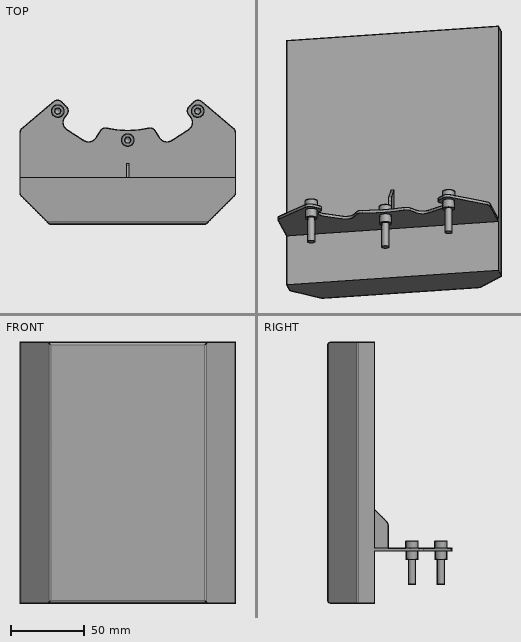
import cadquery as cq
import math

PANEL_WIDTH = 147.0
PANEL_HEIGHT = 178.0
PANEL_DEPTH = 32.0
PANEL_BEVEL = 20.3
PANEL_EDGE_RADIUS = 2.0

SHEET_THICKNESS = 2.0
PLATE_BOTTOM = 35.6
PLATE_TOP = PLATE_BOTTOM + SHEET_THICKNESS
LUG_RADIUS = 4.0
POCKET_RADIUS = 6.0

CRADLE_RADIUS = 65.0
CRADLE_BOTTOM_Y = 64.0
CRADLE_HALF_WIDTH = 17.0
CRADLE_CENTRE_Y = CRADLE_BOTTOM_Y + CRADLE_RADIUS
CRADLE_END_Y = CRADLE_CENTRE_Y - math.sqrt(CRADLE_RADIUS**2 - CRADLE_HALF_WIDTH**2)

PLATE_CORNERS = [
    (PANEL_WIDTH / 2, 64.3, LUG_RADIUS),
    (47.7, 86.2, LUG_RADIUS),
    (39.2, 77.6, LUG_RADIUS),
    (47.0, 68.2, POCKET_RADIUS),
    (25.0, 54.0, POCKET_RADIUS),
    (CRADLE_HALF_WIDTH, CRADLE_END_Y, LUG_RADIUS),
]

GUSSET_REACH = 9.5
GUSSET_HEIGHT = 26.3
GUSSET_RADIUS = 5.0

SCREWS = [(-47.7, 77.3, 15), (0, 57.5, 0), (47.7, 77.3, -15)]
HEAD_DIAMETER = 8.5
HEAD_HEIGHT = 5.0
HEAD_EDGE_RADIUS = 0.5
SOCKET_ACROSS_FLATS = 4.1
SOCKET_ACROSS_CORNERS = SOCKET_ACROSS_FLATS / math.cos(math.pi / 6)
SOCKET_DEPTH = 2.5
SOCKET_TIP_DEPTH = 1.2
SLEEVE_DIAMETER = 8.0
SLEEVE_BOTTOM = 29.9
SHANK_DIAMETER = 5.0
SHANK_BOTTOM = 12.8


def make_panel():
    bevelled_block = (
        cq.Workplane("XY")
        .box(PANEL_WIDTH, PANEL_DEPTH, PANEL_HEIGHT, centered=(True, False, False))
        .edges("|Z and <Y")
        .chamfer(PANEL_BEVEL)
        .edges("|Z and (not >Y)")
        .fillet(PANEL_EDGE_RADIUS)
    )
    rounded_block = (
        cq.Workplane("XY")
        .box(PANEL_WIDTH, PANEL_DEPTH, PANEL_HEIGHT, centered=(True, False, False))
        .edges("|X and <Y")
        .fillet(PANEL_EDGE_RADIUS)
    )
    return bevelled_block.intersect(rounded_block)


def make_plate():
    right_side = [(x, y) for x, y, radius in PLATE_CORNERS]
    left_side = [(-x, y) for x, y in reversed(right_side)]
    plate = (
        cq.Workplane("XY", origin=(0, 0, PLATE_BOTTOM))
        .moveTo(PANEL_WIDTH / 2, PANEL_DEPTH)
        .polyline(right_side, includeCurrent=True)
        .threePointArc((0, CRADLE_BOTTOM_Y), left_side[0])
        .polyline(left_side[1:], includeCurrent=True)
        .lineTo(-PANEL_WIDTH / 2, PANEL_DEPTH)
        .close()
        .extrude(SHEET_THICKNESS)
    )
    middle_z = PLATE_BOTTOM + SHEET_THICKNESS / 2
    for x, y, radius in PLATE_CORNERS:
        for side in (-1, 1):
            corner = cq.selectors.NearestToPointSelector((side * x, y, middle_z))
            plate = plate.edges("|Z").edges(corner).fillet(radius)
    return plate


def make_gusset():
    rear_y = PANEL_DEPTH + GUSSET_REACH
    slope_bottom = PLATE_TOP + GUSSET_HEIGHT - GUSSET_REACH
    return (
        cq.Workplane("YZ")
        .moveTo(PANEL_DEPTH, PLATE_TOP)
        .lineTo(rear_y, PLATE_TOP)
        .lineTo(rear_y, slope_bottom)
        .lineTo(PANEL_DEPTH, PLATE_TOP + GUSSET_HEIGHT)
        .close()
        .extrude(SHEET_THICKNESS / 2, both=True)
        .edges(cq.selectors.NearestToPointSelector((0, rear_y, slope_bottom)))
        .fillet(GUSSET_RADIUS)
    )


def cylinder(diameter, bottom, top):
    return cq.Workplane("XY", origin=(0, 0, bottom)).circle(diameter / 2).extrude(top - bottom)


def make_screw():
    head_top = PLATE_TOP + HEAD_HEIGHT
    socket_floor = head_top - SOCKET_DEPTH
    head = cylinder(HEAD_DIAMETER, PLATE_TOP, head_top).faces(">Z").edges().fillet(HEAD_EDGE_RADIUS)
    socket = (
        cq.Workplane("XY", origin=(0, 0, socket_floor))
        .polygon(6, SOCKET_ACROSS_CORNERS)
        .extrude(SOCKET_DEPTH)
    )
    socket_tip = cq.Workplane(
        cq.Solid.makeCone(
            0, SOCKET_ACROSS_FLATS / 2, SOCKET_TIP_DEPTH, pnt=(0, 0, socket_floor - SOCKET_TIP_DEPTH)
        )
    )
    sleeve = cylinder(SLEEVE_DIAMETER, SLEEVE_BOTTOM, PLATE_TOP)
    shank = cylinder(SHANK_DIAMETER, SHANK_BOTTOM, PLATE_TOP)
    return head.union(sleeve).union(shank).cut(socket).cut(socket_tip)


result = make_panel().union(make_plate()).union(make_gusset())
screw = make_screw()
for x, y, turn in SCREWS:
    turned_screw = screw.rotate((0, 0, 0), (0, 0, 1), turn)
    result = result.union(turned_screw.translate((x, y, 0)))